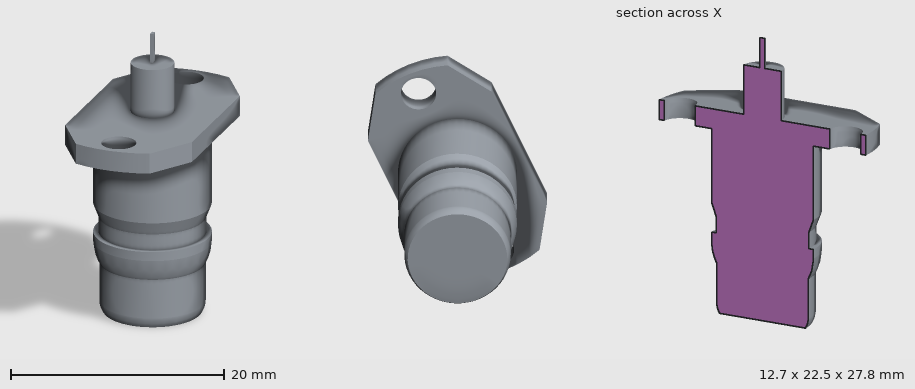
import cadquery as cq
import math

flange_diameter = 22.5
flange_width = 12.7
flange_thickness = 2.0
flat_side_length = 12.8
end_arc_chord = 7.4
mount_hole_diameter = 3.3
mount_hole_spacing = 18.0

tube_diameter = 4.1
tube_height = 4.85
pin_thickness = 0.3
pin_width = 0.6
pin_length = 2.95

body_diameter = 11.15
groove_diameter = 10.15
nose_diameter = 10.0
tip_diameter = 9.35
upper_body_length = 7.2
taper_length = 1.3
groove_length = 1.6
collar_length = 0.9
shoulder_length = 2.1
nose_length = 3.9
nose_rounding_length = 1.0


def tangent_arc_middle(start_radius, start_z, end_radius, length):
    """Halfway point of an arc that leaves the body wall tangentially and curves inward going down."""
    inset = start_radius - end_radius
    arc_radius = (length**2 + inset**2) / (2 * inset)
    half_angle = math.asin(length / arc_radius) / 2
    middle_radius = start_radius - arc_radius * (1 - math.cos(half_angle))
    return middle_radius, start_z - arc_radius * math.sin(half_angle)


def make_flange():
    half_width = flange_width / 2
    half_side = flat_side_length / 2
    half_chord = end_arc_chord / 2
    end_y = flange_diameter / 2
    corner_y = math.sqrt(end_y**2 - half_chord**2)
    plate = (
        cq.Workplane("XY")
        .moveTo(half_width, -half_side)
        .lineTo(half_width, half_side)
        .lineTo(half_chord, corner_y)
        .threePointArc((0, end_y), (-half_chord, corner_y))
        .lineTo(-half_width, half_side)
        .lineTo(-half_width, -half_side)
        .lineTo(-half_chord, -corner_y)
        .threePointArc((0, -end_y), (half_chord, -corner_y))
        .close()
        .extrude(flange_thickness)
    )
    hole_y = mount_hole_spacing / 2
    holes = (
        cq.Workplane("XY")
        .pushPoints([(0, hole_y), (0, -hole_y)])
        .circle(mount_hole_diameter / 2)
        .extrude(flange_thickness)
    )
    return plate.cut(holes)


def make_body():
    body_radius = body_diameter / 2
    groove_radius = groove_diameter / 2
    nose_radius = nose_diameter / 2
    tip_radius = tip_diameter / 2

    taper_top = -upper_body_length
    groove_top = taper_top - taper_length
    collar_top = groove_top - groove_length
    shoulder_top = collar_top - collar_length
    nose_top = shoulder_top - shoulder_length
    rounding_top = nose_top - nose_length
    tip_z = rounding_top - nose_rounding_length

    shoulder_middle = tangent_arc_middle(body_radius, shoulder_top, nose_radius, shoulder_length)
    rounding_middle = tangent_arc_middle(nose_radius, rounding_top, tip_radius, nose_rounding_length)

    return (
        cq.Workplane("XZ")
        .moveTo(0, 0)
        .lineTo(body_radius, 0)
        .lineTo(body_radius, taper_top)
        .lineTo(groove_radius, groove_top)
        .lineTo(groove_radius, collar_top)
        .lineTo(body_radius, collar_top)
        .lineTo(body_radius, shoulder_top)
        .threePointArc(shoulder_middle, (nose_radius, nose_top))
        .lineTo(nose_radius, rounding_top)
        .threePointArc(rounding_middle, (tip_radius, tip_z))
        .lineTo(0, tip_z)
        .close()
        .revolve(360, (0, 0, 0), (0, 1, 0))
    )


def make_tube():
    return (
        cq.Workplane("XY")
        .workplane(offset=flange_thickness)
        .circle(tube_diameter / 2)
        .extrude(tube_height)
    )


def make_pin():
    return (
        cq.Workplane("XY")
        .workplane(offset=flange_thickness + tube_height)
        .rect(pin_thickness, pin_width)
        .extrude(pin_length)
    )


result = make_flange().union(make_body()).union(make_tube()).union(make_pin())